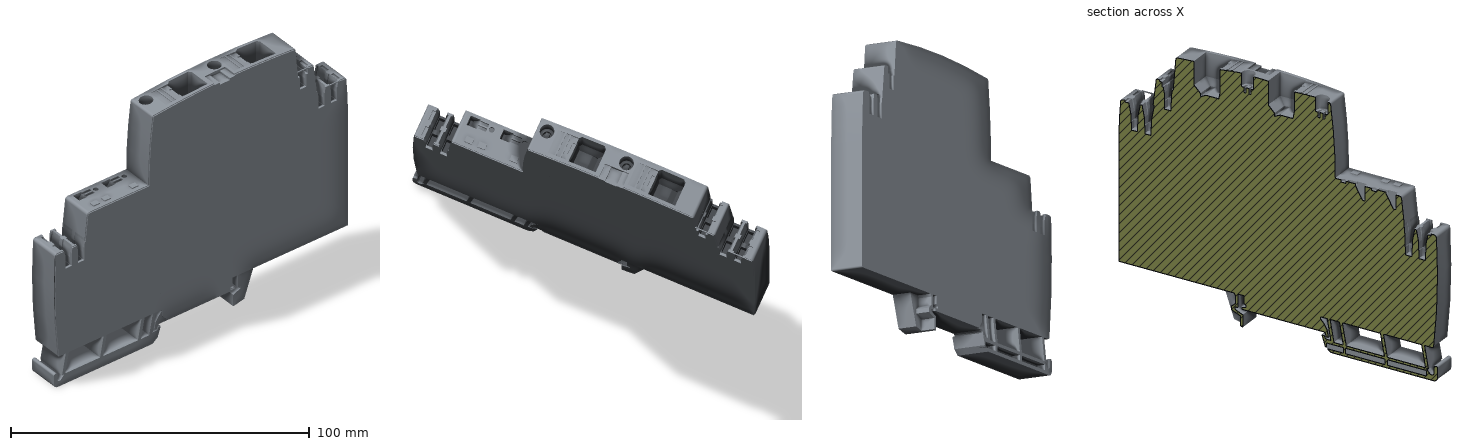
import cadquery as cq
import math


LENGTH = 125.07
HEIGHT = 95.75
HOUSING_WIDTH = 11.85
COVER_THICKNESS = 0.35
WIDTH = HOUSING_WIDTH + COVER_THICKNESS
COVER_INSET = 0.3

BASE_Z = 12.3
RAIL_SEAT_Z = 7.0
REAR_TERMINAL_Z = 73.5
REAR_STEP_Z = 84.8
FRONT_STEP_Z = 66.0
FRONT_TERMINAL_Z = 55.0

CLEARANCE = 1.0
OVERLAP = 0.3

ARCH_SETBACK = 47.0
ARCH_RADIUS = 318.0
REAR_WALL_RADIUS = 194.0
REAR_WALL_TANGENT_Z = 56.0
FRONT_WALL_RADIUS = 239.0
FRONT_WALL_TANGENT_Z = 40.0
TOWER_FRONT_SETBACK = 85.0
TOWER_FRONT_RADIUS = 200.0
REAR_STEP_START = 14.7
REAR_SLOPE_START = 13.3
TOWER_REAR_SETBACK = 21.5
TOWER_TOP_REAR = 22.4
TOWER_TOP_FRONT = 83.1
FRONT_STEP_END = 110.9
FRONT_SLOPE_END = 112.1
RAIL_BLOCK_REAR = 49.1
RAIL_BLOCK_FRONT = 79.2
RAIL_BLOCK_CUT = 2.0
RAIL_BLOCK_CUT_Z = 9.5

SLOT_DEPTH = 7.5
SLOT_WIDTH = 2.65
FLARE_HEIGHT = 2.4
CELLS_X = ((0.8, 5.2), (6.75, 11.3))
CELL_DEPTH = 3.0
CELL_FLARE_HEIGHT = 4.5
CELL_LENGTH = 2.3
MARKER_DEPTH = 0.6
MARKER_WIDTH = 3.6
MARKER_CENTERS_X = (3.2, 9.25)
MARKER_LENGTH = 1.2
STRIP_THICKNESS = 0.35

STATION_PITCH = 29.05
STATION_COUNT = 2
SOCKET_TOP_X = (1.1, 10.7)
SOCKET_FLOOR_X = (2.7, 9.3)
SOCKET_TOP_SETBACK = (29.7, 39.7)
SOCKET_FLOOR_SETBACK = (32.2, 39.2)
SOCKET_DEPTH = 9.0
SOCKET_CORNER_CUT = 0.9
FUNNEL_DEPTH = 2.5
SOCKET_BEND_SETBACK = 34.3
SOCKET_BEND_DROP = 1.0
RAMP_X = (1.9, 10.5)
RAMP_SETBACK = (39.7, 47.2)
RAMP_DEPTH = 0.8
RELIEF_X = (4.0, 8.2)
RELIEF_LENGTH = 1.3
RELIEF_DEPTH = 0.4
RIB_SETBACKS = (42.4, 44.2)
RIB_LENGTH = 0.5
RIB_HEIGHT = 0.3
SCREW_X = 3.77
SCREW_SETBACK = 50.5
SCREW_RADIUS = 2.45
SCREW_DEPTH = 5.0
BORE_RADIUS = 1.5
BORE_DEPTH = 2.0
STUB_WIDTH = 2.1
STUB_LENGTH = 1.4

NOTCH_X = 6.75
NOTCH_SETBACK = (48.3, 57.0)
NOTCH_DEPTH = 0.7
NOTCH_CORE_SETBACK = (50.5, 54.7)
NOTCH_CORE_DEPTH = 1.5

SWITCH_PITCH = 12.06
SWITCH_COUNT = 2
SWITCH_X = 2.83
DIAL_SETBACK = 88.1
DIAL_RADIUS = 0.95
DIAL_DEPTH = 0.8
TRACK_WIDTH = 2.8
TRACK_SETBACK = (89.6, 92.9)
TRACK_DEPTH = 0.8
SLIDER_WIDTH = 0.5
WELL_WIDTH = 3.5
WELL_SETBACK = (92.9, 96.5)
WELL_DEPTH = 5.5
WELL_FLOOR_LENGTH = 0.8
LAMP_X = (8.2, 10.3)
LAMP_LENGTH = 2.7
LAMP_SETBACKS = (87.8, 99.5, 104.2)
LAMP_HEIGHT = 0.4

CLIP_WEB_RECESS = 5.0
HOOK_RECESS = 0.8
FOOT_TOP_Z = 4.2
FOOT_LIP_Z = 5.8
FOOT_LIP_SETBACK = 123.5
FOOT_LIP_RADIUS = 0.7
FOOT_CORNER_RADIUS = 1.7
STRUT_SETBACKS = (81.6, 86.4, 102.5, 118.6)
STRUT_THICKNESS = 1.35
STRUT_LEAN = 1.6
FOOT_PANELS = ((81.5, 88.0), (89.1, 104.2), (105.4, 120.6))
PANEL_Z = (1.2, 3.1)
PANEL_DEPTH = 3.0


def at(setback, z):
    """Point of the side profile, as (Y, Z)."""
    return (LENGTH / 2 - setback, z)


def sagitta(radius, offset):
    """Drop of a circle below its tangent at the given offset from the contact."""
    return radius - math.sqrt(radius**2 - offset**2)


def block(x_range, setback_range, z_range):
    """Axis-aligned block."""
    y_far = LENGTH / 2 - setback_range[1]
    size = (x_range[1] - x_range[0], setback_range[1] - setback_range[0], z_range[1] - z_range[0])
    return cq.Workplane("XY").box(*size, centered=False).translate((x_range[0], y_far, z_range[0]))


def plate(points, x_start=0.0, x_end=HOUSING_WIDTH):
    """Prism along X over a polygon of (setback, z) points."""
    outline = [at(*point) for point in points]
    return cq.Workplane("YZ", origin=(x_start, 0, 0)).polyline(outline).close().extrude(x_end - x_start)


def round_corners(part, corners):
    """Rounds edges along X, each given as (setback, z, radius)."""
    for setback, z, radius in corners:
        nearest = cq.selectors.NearestToPointSelector((HOUSING_WIDTH / 2, *at(setback, z)))
        part = part.edges(nearest).fillet(radius)
    return part


def arch_z(setback):
    """Height of the arched tower top."""
    return HEIGHT - sagitta(ARCH_RADIUS, setback - ARCH_SETBACK)


def rear_wall(z):
    """Setback of the curved wall at the +Y end."""
    return sagitta(REAR_WALL_RADIUS, max(0.0, z - REAR_WALL_TANGENT_Z))


def front_wall(z):
    """Setback of the curved wall at the -Y end."""
    return LENGTH - sagitta(FRONT_WALL_RADIUS, z - FRONT_WALL_TANGENT_Z)


def tower_front(z):
    """Setback of the curved front of the tower."""
    return TOWER_FRONT_SETBACK - sagitta(TOWER_FRONT_RADIUS, z - FRONT_STEP_Z)


def housing_outline():
    """Closed side profile of the housing, without its slots."""
    tower_rear_z = arch_z(TOWER_TOP_REAR)
    tower_front_z = arch_z(TOWER_TOP_FRONT)
    rear_mid_z = (REAR_WALL_TANGENT_Z + REAR_TERMINAL_Z) / 2
    tower_mid_z = (FRONT_STEP_Z + tower_front_z) / 2
    return (
        cq.Workplane("YZ")
        .moveTo(*at(0, BASE_Z))
        .lineTo(*at(0, REAR_WALL_TANGENT_Z))
        .threePointArc(at(rear_wall(rear_mid_z), rear_mid_z), at(rear_wall(REAR_TERMINAL_Z), REAR_TERMINAL_Z))
        .lineTo(*at(REAR_SLOPE_START, REAR_TERMINAL_Z))
        .lineTo(*at(REAR_STEP_START, REAR_STEP_Z))
        .lineTo(*at(TOWER_REAR_SETBACK, REAR_STEP_Z))
        .lineTo(*at(TOWER_TOP_REAR, tower_rear_z))
        .threePointArc(at(ARCH_SETBACK, HEIGHT), at(TOWER_TOP_FRONT, tower_front_z))
        .threePointArc(at(tower_front(tower_mid_z), tower_mid_z), at(TOWER_FRONT_SETBACK, FRONT_STEP_Z))
        .lineTo(*at(FRONT_STEP_END, FRONT_STEP_Z))
        .lineTo(*at(FRONT_SLOPE_END, FRONT_TERMINAL_Z))
        .lineTo(*at(front_wall(FRONT_TERMINAL_Z), FRONT_TERMINAL_Z))
        .threePointArc(at(LENGTH, FRONT_WALL_TANGENT_Z), at(front_wall(BASE_Z), BASE_Z))
        .lineTo(*at(RAIL_BLOCK_FRONT, BASE_Z))
        .lineTo(*at(RAIL_BLOCK_FRONT, RAIL_BLOCK_CUT_Z))
        .lineTo(*at(RAIL_BLOCK_FRONT - RAIL_BLOCK_CUT, RAIL_SEAT_Z))
        .lineTo(*at(48.4, RAIL_SEAT_Z))
        .lineTo(*at(48.2, 7.9))
        .lineTo(*at(49.9, 8.2))
        .lineTo(*at(49.9, 8.9))
        .lineTo(*at(RAIL_BLOCK_REAR, 9.5))
        .lineTo(*at(RAIL_BLOCK_REAR, BASE_Z))
        .close()
    )


ROUNDED_CORNERS = (
    (0, BASE_Z, 0.6),
    (rear_wall(REAR_TERMINAL_Z), REAR_TERMINAL_Z, 1.1),
    (REAR_STEP_START, REAR_STEP_Z, 0.7),
    (TOWER_TOP_REAR, arch_z(TOWER_TOP_REAR), 1.0),
    (TOWER_TOP_FRONT, arch_z(TOWER_TOP_FRONT), 0.9),
    (FRONT_STEP_END, FRONT_STEP_Z, 1.1),
    (front_wall(FRONT_TERMINAL_Z), FRONT_TERMINAL_Z, 1.1),
    (front_wall(BASE_Z), BASE_Z, 0.9),
)


def housing():
    """Housing body with the thinner, slightly smaller cover on its +X side."""
    body = housing_outline().extrude(HOUSING_WIDTH)
    body = round_corners(body, ROUNDED_CORNERS)
    cover = housing_outline().offset2D(-COVER_INSET).extrude(WIDTH)
    return body.union(cover)


SLOTS = (
    (4.9, REAR_TERMINAL_Z, 0.5, 0.3, False, 0.9, 0.9),
    (10.2, REAR_TERMINAL_Z, 0.4, 0.5, False, 0.9, 0.9),
    (18.0, REAR_STEP_Z, 0.8, 0.8, True, 0.9, 0.9),
    (112.4, FRONT_TERMINAL_Z, 0.3, 0.4, False, 0.4, 0.9),
    (117.7, FRONT_TERMINAL_Z, 0.3, 0.7, False, 0.9, 0.9),
)
MARKERS = ((2.7, REAR_TERMINAL_Z), (16.2, REAR_STEP_Z), (121.1, FRONT_TERMINAL_Z))
STRIPS = (((3.8, 9.8), REAR_TERMINAL_Z), ((17.0, 21.8), REAR_STEP_Z))


def flared_slot(start, top_z, flare_start, flare_end, flare_height, stepped, x_range):
    """Slot cutter whose mouth widens above its neck, by a slope or by a step."""
    end = start + SLOT_WIDTH
    floor_z = top_z - SLOT_DEPTH
    neck_z = top_z - flare_height
    mouth_z = neck_z if stepped else top_z
    clear_z = top_z + CLEARANCE
    return plate(
        [
            (start, floor_z),
            (end, floor_z),
            (end, neck_z),
            (end + flare_end, mouth_z),
            (end + flare_end, clear_z),
            (start - flare_start, clear_z),
            (start - flare_start, mouth_z),
            (start, neck_z),
        ],
        *x_range,
    )


def conductor_slot(start, top_z, flare_start, flare_end, stepped, cell_flare_start, cell_flare_end):
    """Slot across the whole width, with wider wire cells that also sink into its floor."""
    cutter = flared_slot(start, top_z, flare_start, flare_end, FLARE_HEIGHT, stepped, (0, WIDTH))
    floor_z = top_z - SLOT_DEPTH
    cell_start = start + (SLOT_WIDTH - CELL_LENGTH) / 2
    for cell_x in CELLS_X:
        mouth = flared_slot(
            start, top_z, cell_flare_start, cell_flare_end, CELL_FLARE_HEIGHT, False, cell_x
        )
        well = block(cell_x, (cell_start, cell_start + CELL_LENGTH), (floor_z - CELL_DEPTH, floor_z))
        cutter = cutter.union(mouth).union(well)
    return cutter


def cut_terminals(part):
    """Conductor slots, marker recesses and the strips that bridge the rear slots."""
    for slot in SLOTS:
        part = part.cut(conductor_slot(*slot))
    for setback, top_z in MARKERS:
        for center_x in MARKER_CENTERS_X:
            x_range = (center_x - MARKER_WIDTH / 2, center_x + MARKER_WIDTH / 2)
            z_range = (top_z - MARKER_DEPTH, top_z + CLEARANCE)
            part = part.cut(block(x_range, (setback, setback + MARKER_LENGTH), z_range))
    for setback_range, top_z in STRIPS:
        z_range = (top_z - STRIP_THICKNESS, top_z)
        part = part.union(block((HOUSING_WIDTH, WIDTH), setback_range, z_range))
    return part


def rectangle_wire(x_range, setback_range, z):
    """Horizontal rectangle at height z."""
    corners = [
        cq.Vector(x, LENGTH / 2 - setback, z)
        for x, setback in (
            (x_range[0], setback_range[0]),
            (x_range[1], setback_range[0]),
            (x_range[1], setback_range[1]),
            (x_range[0], setback_range[1]),
        )
    ]
    return cq.Wire.makePolygon(corners, close=True)


def funnel(top_x, top_setback, floor_x, floor_setback, top_z, depth):
    """Pocket cutter that narrows evenly from the top rectangle to the floor rectangle."""
    top = rectangle_wire(top_x, top_setback, top_z)
    floor = rectangle_wire(floor_x, floor_setback, top_z - depth)
    return cq.Workplane(obj=cq.Solid.makeLoft([floor, top], True))


def relay_socket(shift):
    """Straight socket that ends in a tapered funnel, whose floor dips toward the rear."""
    top_setback = tuple(edge + shift for edge in SOCKET_TOP_SETBACK)
    floor_setback = tuple(edge + shift for edge in SOCKET_FLOOR_SETBACK)
    funnel_z = arch_z(top_setback[0]) - SOCKET_DEPTH
    floor_z = funnel_z - FUNNEL_DEPTH
    shaft = block(SOCKET_TOP_X, top_setback, (floor_z, HEIGHT + CLEARANCE))
    shaft = shaft.edges("|Z and <X").chamfer(SOCKET_CORNER_CUT)
    straight = block(SOCKET_TOP_X, top_setback, (funnel_z, HEIGHT + CLEARANCE))
    taper = funnel(SOCKET_TOP_X, top_setback, SOCKET_FLOOR_X, floor_setback, funnel_z, FUNNEL_DEPTH)
    cutter = straight.union(taper).intersect(shaft)
    bend = plate(
        [
            (floor_setback[0], floor_z),
            (floor_setback[0], floor_z - SOCKET_BEND_DROP),
            (SOCKET_BEND_SETBACK + shift, floor_z),
        ],
        *SOCKET_FLOOR_X,
    )
    return cutter.union(bend)


def finger_ramp(shift):
    """Recess that slopes down into the socket, with cross ribs left on it and a relief at its low end."""
    start = RAMP_SETBACK[0] + shift
    end = RAMP_SETBACK[1] + shift
    start_z = arch_z(start) - RAMP_DEPTH
    end_z = arch_z(end)
    slope = (end_z - start_z) / (end - start)
    clear_z = HEIGHT + CLEARANCE
    cutter = plate([(start, start_z), (end, end_z), (end, clear_z), (start, clear_z)], *RAMP_X)
    for rib_setback in RIB_SETBACKS:
        near = rib_setback + shift
        far = near + RIB_LENGTH
        near_z = start_z + slope * (near - start)
        far_z = start_z + slope * (far - start)
        rib = plate(
            [(near, near_z), (far, far_z), (far, far_z + RIB_HEIGHT), (near, near_z + RIB_HEIGHT)], *RAMP_X
        )
        cutter = cutter.cut(rib)
    relief_z = (start_z - RELIEF_DEPTH, start_z + RELIEF_DEPTH)
    return cutter.union(block(RELIEF_X, (start, start + RELIEF_LENGTH), relief_z))


def cylinder(x, setback, radius, z_range):
    """Vertical cylinder."""
    center = (x, LENGTH / 2 - setback, z_range[0])
    return cq.Workplane("XY", origin=center).circle(radius).extrude(z_range[1] - z_range[0])


def screw_hole(shift):
    """Counterbored hole with a rectangular stub standing in its bore."""
    setback = SCREW_SETBACK + shift
    seat_z = arch_z(setback) - SCREW_DEPTH
    bore_z = seat_z - BORE_DEPTH
    cutter = cylinder(SCREW_X, setback, SCREW_RADIUS, (seat_z, HEIGHT + CLEARANCE))
    bore = cylinder(SCREW_X, setback, BORE_RADIUS, (bore_z, seat_z))
    stub_x = (SCREW_X - STUB_WIDTH / 2, SCREW_X + STUB_WIDTH / 2)
    stub_setback = (setback - STUB_LENGTH / 2, setback + STUB_LENGTH / 2)
    return cutter.union(bore).cut(block(stub_x, stub_setback, (bore_z, seat_z)))


def cut_relay_stations(part):
    """Socket, ramp and screw hole for each relay."""
    for index in range(STATION_COUNT):
        shift = index * STATION_PITCH
        part = part.cut(relay_socket(shift))
        part = part.cut(finger_ramp(shift))
        part = part.cut(screw_hole(shift))
    return part


def cut_label_notch(part):
    """Two-level notch in the +X edge of the tower top."""
    notch_x = (NOTCH_X, WIDTH)
    top_z = HEIGHT + CLEARANCE
    part = part.cut(block(notch_x, NOTCH_SETBACK, (HEIGHT - NOTCH_DEPTH, top_z)))
    return part.cut(block(notch_x, NOTCH_CORE_SETBACK, (HEIGHT - NOTCH_CORE_DEPTH, top_z)))


def centered(width):
    """X range of a switch feature of the given width."""
    return (SWITCH_X - width / 2, SWITCH_X + width / 2)


def switch(shift):
    """Cutters for one switch: round dial recess, slider track and well with a sloping floor."""
    top_z = FRONT_STEP_Z
    dial_setback = DIAL_SETBACK + shift
    dial_z = (top_z - DIAL_DEPTH, top_z)
    dial = cylinder(SWITCH_X, dial_setback, DIAL_RADIUS, dial_z)
    track_setback = tuple(edge + shift for edge in TRACK_SETBACK)
    track_z = (top_z - TRACK_DEPTH, top_z)
    track = block(centered(TRACK_WIDTH), track_setback, track_z)
    track = track.cut(block(centered(SLIDER_WIDTH), track_setback, track_z))
    well_start, well_end = (edge + shift for edge in WELL_SETBACK)
    well = plate(
        [
            (well_start, top_z),
            (well_start, top_z - TRACK_DEPTH),
            (well_end - WELL_FLOOR_LENGTH, top_z - WELL_DEPTH),
            (well_end, top_z - WELL_DEPTH),
            (well_end, top_z),
        ],
        *centered(WELL_WIDTH),
    )
    return dial, track, well


def add_front_step_details(part):
    """Switch recesses and raised lamps on the front step."""
    for index in range(SWITCH_COUNT):
        for cutter in switch(index * SWITCH_PITCH):
            part = part.cut(cutter)
    for setback in LAMP_SETBACKS:
        lamp_z = (FRONT_STEP_Z - LAMP_HEIGHT, FRONT_STEP_Z + LAMP_HEIGHT)
        part = part.union(block(LAMP_X, (setback, setback + LAMP_LENGTH), lamp_z))
    return part


def rail_clip():
    """Springy rail clip: a bent strip across the width, backed by a recessed web."""
    rear_face = [(40.3, BASE_Z), (44.1, 1.4), (47.6, 0.6)]
    bend_rear = [(47.6, 4.4), (44.1, 5.8), (44.1, 7.3), (45.8, 8.6), (45.8, 11.4), (45.2, BASE_Z)]
    bend_front = [(46.8, BASE_Z), (46.8, 7.2), (45.7, 7.2), (45.7, 6.4), (48.8, 5.1), (48.8, 0.4)]
    web = plate(rear_face + bend_rear, CLIP_WEB_RECESS)
    root = [(45.2, BASE_Z + OVERLAP), (46.8, BASE_Z + OVERLAP)]
    strip = plate(bend_front + [(47.6, 0.6)] + bend_rear + root)
    return web.union(strip)


def rail_hook():
    """Fixed barb that catches the front flange of the rail."""
    return plate(
        [
            (RAIL_BLOCK_FRONT - RAIL_BLOCK_CUT, RAIL_SEAT_Z),
            (RAIL_BLOCK_FRONT, RAIL_BLOCK_CUT_Z),
            (RAIL_BLOCK_FRONT, 11.7),
            (80.6, 10.2),
            (81.8, 8.2),
            (82.3, 5.4),
            (81.2, 5.4),
            (81.0, 6.6),
            (80.3, RAIL_SEAT_Z),
        ],
        HOOK_RECESS,
    )


def release_foot():
    """Release bar hung from slanted struts, with panels sunk in its -X side."""
    bar = plate(
        [
            (79.6, 5.8),
            (80.6, 5.8),
            (81.2, 4.7),
            (83.0, 4.7),
            (83.4, FOOT_TOP_Z),
            (120.5, FOOT_TOP_Z),
            (121.7, 2.7),
            (122.3, 2.2),
            (123.1, 2.2),
            (FOOT_LIP_SETBACK, 2.7),
            (FOOT_LIP_SETBACK, FOOT_LIP_Z),
            (LENGTH, FOOT_LIP_Z),
            (LENGTH, 0.0),
            (83.1, 0.0),
            (80.9, 1.8),
        ]
    )
    rounded = (
        (FOOT_LIP_SETBACK, FOOT_LIP_Z, FOOT_LIP_RADIUS),
        (LENGTH, FOOT_LIP_Z, FOOT_LIP_RADIUS),
        (LENGTH, 0, FOOT_CORNER_RADIUS),
    )
    bar = round_corners(bar, rounded)
    for setback_range in FOOT_PANELS:
        bar = bar.cut(block((0, PANEL_DEPTH), setback_range, PANEL_Z))
    for setback in STRUT_SETBACKS:
        foot = setback + STRUT_LEAN
        strut = plate(
            [
                (setback, BASE_Z + OVERLAP),
                (setback + STRUT_THICKNESS, BASE_Z + OVERLAP),
                (foot + STRUT_THICKNESS, FOOT_TOP_Z - OVERLAP),
                (foot, FOOT_TOP_Z - OVERLAP),
            ]
        )
        bar = bar.union(strut)
    return bar


result = housing()
result = cut_terminals(result)
result = cut_relay_stations(result)
result = cut_label_notch(result)
result = add_front_step_details(result)
result = result.union(rail_clip()).union(rail_hook()).union(release_foot())